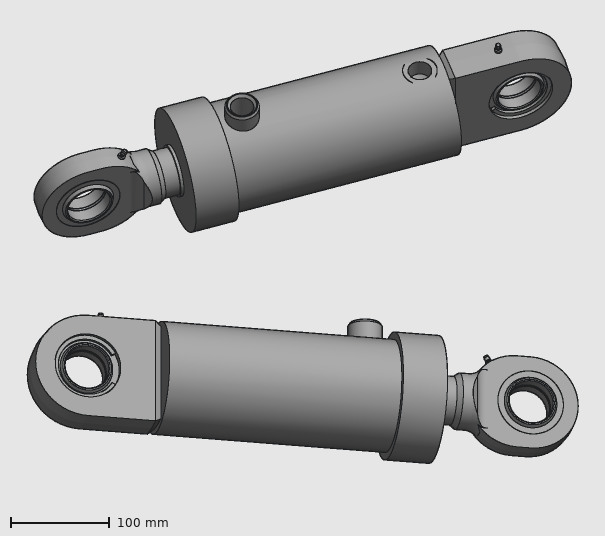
import cadquery as cq
import math


BARREL_DIA = 115.0
BARREL_END_Y = 286.5
HEAD_DIA = 130.0
HEAD_LENGTH = 46.0
WIPER_DIA = 54.5
WIPER_LENGTH = 3.5

PORT_DIA = 35.0
PORT_HOLE_DIA = 24.0
PORT_HOLE_BOTTOM_Z = 37.0
DRILL_POINT_ANGLE = 118.0
REAR_PORT_Y = 261.5
SPOTFACE_Z = 56.0
FRONT_PORT_Y = 71.5
BOSS_TOP_Z = 75.0
BOSS_CHAMFER_HEIGHT = 3.0
BOSS_CHAMFER_WIDTH = 1.5
PORT_MOUTH_DIA = 29.5

EYE_TAPER = 3.5

REAR_EYE_TIP_Y = 418.0
REAR_EYE_RADIUS = 55.5
REAR_EYE_THICKNESS = 39.5
REAR_EYE_Y = REAR_EYE_TIP_Y - REAR_EYE_RADIUS
WELD_BEVEL_LENGTH = 6.0
WELD_BEVEL_WIDTH = 4.5

ROD_DIA = 50.0
ROD_END_Y = -18.5
SHANK_DIA = 58.0
SHANK_START_Y = -24.5
SHANK_END_Y = -34.5
ROD_EYE_TIP_Y = -148.0
ROD_EYE_RADIUS = 50.1
ROD_EYE_THICKNESS = 26.0
ROD_EYE_Y = ROD_EYE_TIP_Y + ROD_EYE_RADIUS
ROD_EYE_INNER_Y = -83.0
NECK_EDGE_X = 21.5
NECK_EDGE_Y = -41.0
NECK_FLAT_Y = -52.5

BEARING_DIA = 68.0
RACE_WIDTH = 25.0
BALL_DIA = 60.0
BALL_WIDTH = 32.0
BEARING_BORE = 45.0
OIL_GROOVE_WIDTH = 3.0
OIL_GROOVE_DEPTH = 0.5
BORE_CHAMFER = 1.0

RING_OUTER_DIA = 71.0
RING_INNER_DIA = 59.5
RING_THICKNESS = 3.5
RING_GAP_ANGLE = 60.0

NIPPLE_BASE_DIA = 7.5
NIPPLE_BASE_HEIGHT = 2.0
NIPPLE_NECK_DIA = 3.55
NIPPLE_NECK_HEIGHT = 1.5
NIPPLE_HEAD_DIA = 5.5
NIPPLE_HEAD_HEIGHT = 3.5
NIPPLE_TIP_DIA = 4.4
NIPPLE_TIP_HEIGHT = 1.5
NIPPLE_ROOT_DEPTH = 2.0
REAR_NIPPLE_Y = 345.0
ROD_NIPPLE_ANGLE = 30.0


def y_cylinder(dia, start_y, end_y):
    """Cylinder on the Y axis from start_y up to end_y."""
    return cq.Workplane("XZ", origin=(0, start_y, 0)).circle(dia / 2).extrude(start_y - end_y)


def z_cylinder(dia, y, bottom_z, top_z):
    """Upright cylinder centred at the given Y."""
    return cq.Workplane("XY", origin=(0, y, bottom_z)).circle(dia / 2).extrude(top_z - bottom_z)


def x_cylinder(dia, y, width):
    """Cylinder along X, centred on the middle plane at the given Y."""
    return cq.Workplane("YZ").center(y, 0).circle(dia / 2).extrude(width / 2, both=True)


def tapered_plate(outline, thickness):
    """Plate whose outline shrinks from the middle plane towards both side faces."""
    half = outline.extrude(thickness / 2, taper=EYE_TAPER)
    return half.union(half.mirror("YZ"))


def grease_nipple():
    """Nipple standing on Z = 0, with a root below it."""
    neck_z = NIPPLE_BASE_HEIGHT
    head_z = neck_z + NIPPLE_NECK_HEIGHT
    tip_z = head_z + NIPPLE_HEAD_HEIGHT
    return (
        cq.Workplane("XZ")
        .moveTo(0, -NIPPLE_ROOT_DEPTH)
        .lineTo(NIPPLE_BASE_DIA / 2, -NIPPLE_ROOT_DEPTH)
        .lineTo(NIPPLE_BASE_DIA / 2, neck_z)
        .lineTo(NIPPLE_NECK_DIA / 2, neck_z)
        .lineTo(NIPPLE_NECK_DIA / 2, head_z)
        .lineTo(NIPPLE_HEAD_DIA / 2, head_z)
        .lineTo(NIPPLE_HEAD_DIA / 2, tip_z)
        .lineTo(NIPPLE_TIP_DIA / 2, tip_z + NIPPLE_TIP_HEIGHT)
        .lineTo(0, tip_z + NIPPLE_TIP_HEIGHT)
        .close()
        .revolve(360, (0, 0, 0), (0, 1, 0))
    )


def port_hole(y, top_z):
    """Drilled oil port with a conical bottom."""
    radius = PORT_HOLE_DIA / 2
    point_depth = radius / math.tan(math.radians(DRILL_POINT_ANGLE / 2))
    return (
        cq.Workplane("XZ", origin=(0, y, 0))
        .moveTo(0, PORT_HOLE_BOTTOM_Z - point_depth)
        .lineTo(radius, PORT_HOLE_BOTTOM_Z)
        .lineTo(radius, top_z)
        .lineTo(0, top_z)
        .close()
        .revolve(360, (0, 0, 0), (0, 1, 0))
    )


def front_port_boss():
    """Raised port boss, chamfered outside and at its mouth."""
    boss = z_cylinder(PORT_DIA, FRONT_PORT_Y, PORT_HOLE_BOTTOM_Z, BOSS_TOP_Z)
    boss = boss.faces(">Z").edges().chamfer(BOSS_CHAMFER_HEIGHT, BOSS_CHAMFER_WIDTH)
    mouth_depth = (PORT_MOUTH_DIA - PORT_HOLE_DIA) / 2
    mouth = cq.Solid.makeCone(
        PORT_HOLE_DIA / 2,
        PORT_MOUTH_DIA / 2,
        mouth_depth,
        pnt=cq.Vector(0, FRONT_PORT_Y, BOSS_TOP_Z - mouth_depth),
    )
    return boss.cut(cq.Workplane(mouth))


def retaining_rings():
    """Split rings against both sides of the rear race, rooted in the eye, gaps towards the barrel."""
    ring = x_cylinder(RING_OUTER_DIA, REAR_EYE_Y, RACE_WIDTH + 2 * RING_THICKNESS)
    ring = ring.cut(x_cylinder(RING_INNER_DIA, REAR_EYE_Y, REAR_EYE_THICKNESS))
    ring = ring.cut(x_cylinder(RING_OUTER_DIA, REAR_EYE_Y, RACE_WIDTH))
    reach = RING_OUTER_DIA
    half_opening = reach * math.tan(math.radians(RING_GAP_ANGLE / 2))
    gap = (
        cq.Workplane("YZ")
        .moveTo(REAR_EYE_Y, 0)
        .lineTo(REAR_EYE_Y - reach, half_opening)
        .lineTo(REAR_EYE_Y - reach, -half_opening)
        .close()
        .extrude(REAR_EYE_THICKNESS, both=True)
    )
    return ring.cut(gap)


def rear_eye():
    """Eye plate with its weld bevel, bearing seat, retaining rings and nipple."""
    bevel_y = BARREL_END_Y + WELD_BEVEL_LENGTH
    outline = (
        cq.Workplane("YZ")
        .moveTo(BARREL_END_Y - WELD_BEVEL_LENGTH, -REAR_EYE_RADIUS)
        .lineTo(REAR_EYE_Y, -REAR_EYE_RADIUS)
        .threePointArc((REAR_EYE_TIP_Y, 0), (REAR_EYE_Y, REAR_EYE_RADIUS))
        .lineTo(BARREL_END_Y - WELD_BEVEL_LENGTH, REAR_EYE_RADIUS)
        .close()
    )
    plate = tapered_plate(outline, REAR_EYE_THICKNESS)
    plate = plate.cut(y_cylinder(HEAD_DIA, 0, bevel_y))

    half_width = REAR_EYE_THICKNESS / 2
    side_z = REAR_EYE_RADIUS - half_width * math.tan(math.radians(EYE_TAPER))
    bevel_angle = math.degrees(math.atan(WELD_BEVEL_WIDTH / WELD_BEVEL_LENGTH))
    bevel = (
        cq.Workplane("XZ", origin=(0, bevel_y, 0))
        .polyline([
            (-half_width, -side_z),
            (0, -REAR_EYE_RADIUS),
            (half_width, -side_z),
            (half_width, side_z),
            (0, REAR_EYE_RADIUS),
            (-half_width, side_z),
        ])
        .close()
        .extrude(WELD_BEVEL_LENGTH, taper=bevel_angle)
    )

    eye = plate.union(bevel)
    eye = eye.cut(x_cylinder(BEARING_DIA, REAR_EYE_Y, REAR_EYE_THICKNESS))
    eye = eye.union(retaining_rings())
    return eye.union(grease_nipple().translate((0, REAR_NIPPLE_Y, REAR_EYE_RADIUS)))


def make_cylinder():
    """Barrel, head, ports and rear eye, with a blind hole for the rod."""
    body = y_cylinder(BARREL_DIA, HEAD_LENGTH, BARREL_END_Y)
    body = body.union(y_cylinder(HEAD_DIA, 0, HEAD_LENGTH))
    body = body.union(y_cylinder(WIPER_DIA, -WIPER_LENGTH, 0))
    body = body.cut(y_cylinder(ROD_DIA, -WIPER_LENGTH, HEAD_LENGTH))
    body = body.union(front_port_boss())
    body = body.cut(z_cylinder(PORT_DIA, REAR_PORT_Y, SPOTFACE_Z, BARREL_DIA / 2))
    body = body.cut(port_hole(REAR_PORT_Y, SPOTFACE_Z))
    body = body.cut(port_hole(FRONT_PORT_Y, BOSS_TOP_Z))
    return body.union(rear_eye())


def rod_neck():
    """Rod, weld cone, shank and a flare that meets the eye's rim tangentially."""
    shank_radius = SHANK_DIA / 2
    run = SHANK_END_Y - ROD_EYE_INNER_Y
    flare_radius = (run**2 + shank_radius**2 - ROD_EYE_RADIUS**2) / (2 * (ROD_EYE_RADIUS - shank_radius))
    flare_centre_z = shank_radius + flare_radius
    flare_angle = math.atan2(run, flare_centre_z)
    touch_y = ROD_EYE_INNER_Y + ROD_EYE_RADIUS * math.sin(flare_angle)
    touch_z = ROD_EYE_RADIUS * math.cos(flare_angle)
    mid_y = SHANK_END_Y - flare_radius * math.sin(flare_angle / 2)
    mid_z = flare_centre_z - flare_radius * math.cos(flare_angle / 2)
    turned = (
        cq.Workplane("YZ")
        .moveTo(HEAD_LENGTH, 0)
        .lineTo(HEAD_LENGTH, ROD_DIA / 2)
        .lineTo(ROD_END_Y, ROD_DIA / 2)
        .lineTo(SHANK_START_Y, shank_radius)
        .lineTo(SHANK_END_Y, shank_radius)
        .threePointArc((mid_y, mid_z), (touch_y, touch_z))
        .lineTo(NECK_FLAT_Y, touch_z)
        .lineTo(NECK_FLAT_Y, 0)
        .close()
        .revolve(360, (0, 0, 0), (1, 0, 0))
    )
    return turned.intersect(neck_side_profile())


def neck_side_profile():
    """Block that narrows the neck in concave curves from the shank to the eye plate."""
    half_plate = ROD_EYE_THICKNESS / 2
    half_shank = SHANK_DIA / 2
    drop = NECK_EDGE_Y - NECK_FLAT_Y
    rise = NECK_EDGE_X - half_plate
    fillet_radius = (drop**2 + rise**2) / (2 * rise)
    half_turn = math.asin(drop / fillet_radius) / 2
    mid_x = half_plate + fillet_radius * (1 - math.cos(half_turn))
    mid_y = NECK_FLAT_Y + fillet_radius * math.sin(half_turn)
    return (
        cq.Workplane("XY")
        .moveTo(half_shank, HEAD_LENGTH)
        .lineTo(half_shank, SHANK_END_Y)
        .lineTo(NECK_EDGE_X, NECK_EDGE_Y)
        .threePointArc((mid_x, mid_y), (half_plate, NECK_FLAT_Y))
        .lineTo(half_plate, ROD_EYE_Y)
        .lineTo(-half_plate, ROD_EYE_Y)
        .lineTo(-half_plate, NECK_FLAT_Y)
        .threePointArc((-mid_x, mid_y), (-NECK_EDGE_X, NECK_EDGE_Y))
        .lineTo(-half_shank, SHANK_END_Y)
        .lineTo(-half_shank, HEAD_LENGTH)
        .close()
        .extrude(ROD_EYE_RADIUS, both=True)
    )


def make_rod():
    """Rod with its eye, bearing seat and nipple."""
    inner_tip_y = ROD_EYE_INNER_Y + ROD_EYE_RADIUS
    outline = (
        cq.Workplane("YZ")
        .moveTo(ROD_EYE_Y, -ROD_EYE_RADIUS)
        .lineTo(ROD_EYE_INNER_Y, -ROD_EYE_RADIUS)
        .threePointArc((inner_tip_y, 0), (ROD_EYE_INNER_Y, ROD_EYE_RADIUS))
        .lineTo(ROD_EYE_Y, ROD_EYE_RADIUS)
        .threePointArc((ROD_EYE_TIP_Y, 0), (ROD_EYE_Y, -ROD_EYE_RADIUS))
        .close()
    )
    rod = rod_neck().union(tapered_plate(outline, ROD_EYE_THICKNESS))
    rod = rod.cut(x_cylinder(BEARING_DIA, ROD_EYE_Y, ROD_EYE_THICKNESS))
    nipple = (
        grease_nipple()
        .translate((0, 0, ROD_EYE_RADIUS))
        .rotate((0, 0, 0), (1, 0, 0), -ROD_NIPPLE_ANGLE)
        .translate((0, ROD_EYE_INNER_Y, 0))
    )
    return rod.union(nipple)


def make_bearing(y):
    """Spherical bearing: a plain race on a ball with a grooved bore, its axis along X."""
    half_race = RACE_WIDTH / 2
    half_ball = BALL_WIDTH / 2
    half_groove = OIL_GROOVE_WIDTH / 2
    ball_radius = BALL_DIA / 2
    bore_radius = BEARING_BORE / 2
    mid_x = (half_race + half_ball) / 2

    def ball_point(x):
        return (x, math.sqrt(ball_radius**2 - x**2))

    return (
        cq.Workplane("XY")
        .moveTo(-half_race, BEARING_DIA / 2)
        .lineTo(half_race, BEARING_DIA / 2)
        .lineTo(*ball_point(half_race))
        .threePointArc(ball_point(mid_x), ball_point(half_ball))
        .lineTo(half_ball, bore_radius + BORE_CHAMFER)
        .lineTo(half_ball - BORE_CHAMFER, bore_radius)
        .lineTo(half_groove, bore_radius)
        .lineTo(half_groove, bore_radius + OIL_GROOVE_DEPTH)
        .lineTo(-half_groove, bore_radius + OIL_GROOVE_DEPTH)
        .lineTo(-half_groove, bore_radius)
        .lineTo(-half_ball + BORE_CHAMFER, bore_radius)
        .lineTo(-half_ball, bore_radius + BORE_CHAMFER)
        .lineTo(*ball_point(-half_ball))
        .threePointArc(ball_point(-mid_x), ball_point(-half_race))
        .close()
        .revolve(360, (0, 0, 0), (1, 0, 0))
        .translate((0, y, 0))
    )


cylinder = make_cylinder()
rod = make_rod()
bearings = [make_bearing(y) for y in (REAR_EYE_Y, ROD_EYE_Y)]

result = cq.Compound.makeCompound([cylinder.val(), rod.val(), *[bearing.val() for bearing in bearings]])